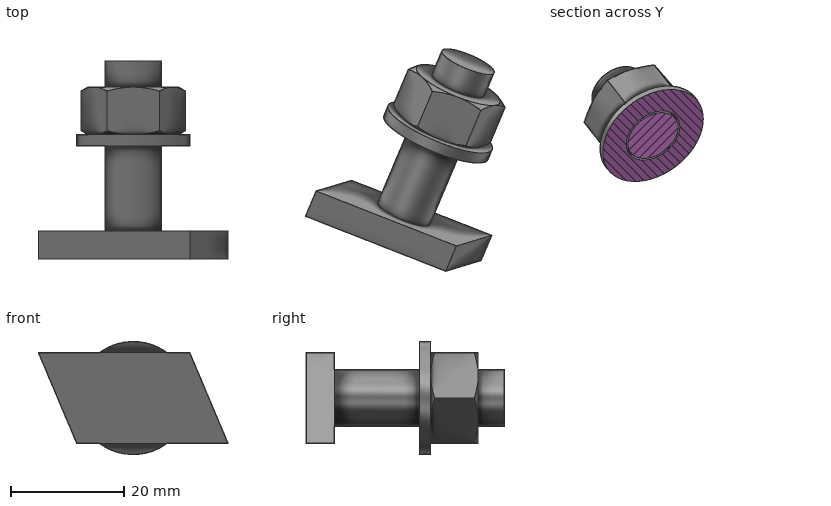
import cadquery as cq
import math

total_length = 35.0
shank_diameter = 10.0
head_thickness = 5.0
head_width = 33.5
head_height = 16.0
head_edge_length = 26.75

washer_diameter = 20.0
washer_thickness = 2.0
washer_hole_diameter = 10.5
washer_start = 20.0

nut_across_flats = 16.0
nut_height = 8.4
nut_chamfer_angle = math.radians(30)
nut_start = washer_start + washer_thickness
nut_across_corners = nut_across_flats / math.cos(math.pi / 6)


def plane_at(y):
    """Sketch plane normal to the bolt axis, with local x = X and local y = Z."""
    return cq.Workplane("XZ", origin=(0, y, 0))


def extrude_along_axis(sketch, length):
    return sketch.extrude(-length)


def make_bolt():
    """T-head bolt with a parallelogram head and a plain shank."""
    half_width = head_width / 2
    half_height = head_height / 2
    inset = head_width - head_edge_length
    head_outline = plane_at(0).polyline([
        (-half_width, half_height),
        (half_width - inset, half_height),
        (half_width, -half_height),
        (-half_width + inset, -half_height),
    ]).close()
    head = extrude_along_axis(head_outline, head_thickness)
    shank = extrude_along_axis(
        plane_at(head_thickness).circle(shank_diameter / 2), total_length - head_thickness
    )
    return head.union(shank)


def make_washer():
    """Flat washer with clearance around the shank."""
    ring = plane_at(washer_start).circle(washer_diameter / 2).circle(washer_hole_diameter / 2)
    return extrude_along_axis(ring, washer_thickness)


def make_nut():
    """Hexagon nut with corners on X and conical chamfers at both ends."""
    hexagon = plane_at(nut_start).polygon(6, nut_across_corners).circle(shank_diameter / 2)
    blank = extrude_along_axis(hexagon, nut_height)

    end_radius = nut_across_flats / 2
    corner_radius = nut_across_corners / 2
    chamfer_height = (corner_radius - end_radius) * math.tan(nut_chamfer_angle)
    nut_end = nut_start + nut_height
    envelope = (
        cq.Workplane("XY")
        .polyline([
            (0, nut_start),
            (end_radius, nut_start),
            (corner_radius, nut_start + chamfer_height),
            (corner_radius, nut_end - chamfer_height),
            (end_radius, nut_end),
            (0, nut_end),
        ])
        .close()
        .revolve(360, (0, 0, 0), (0, 1, 0))
    )
    return blank.intersect(envelope)


bolt = make_bolt()
washer = make_washer()
nut = make_nut()

result = cq.Compound.makeCompound([bolt.val(), washer.val(), nut.val()])